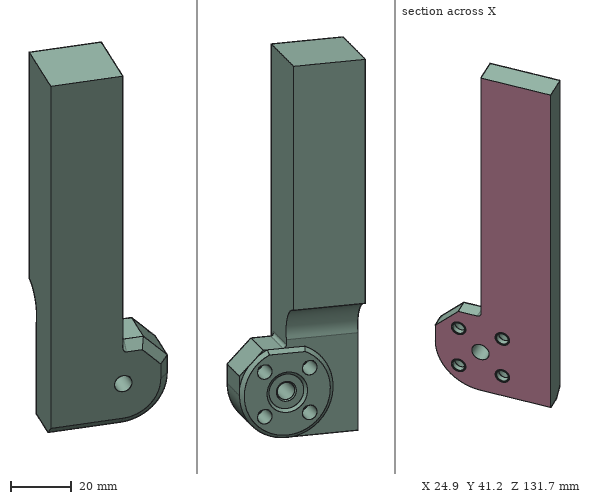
import cadquery as cq
import math


bar_side = 24.88
overall_y = 41.15
overall_z = 131.65

pivot_to_back = 25.0
bar_back_y = -pivot_to_back
bar_front_y = bar_back_y + bar_side

head_radius = overall_y - pivot_to_back
head_top_z = 14.95
back_chamfer = 3.2
inner_corner_radius = 1.2

bottom_z = -head_radius
top_z = bottom_z + overall_z

relief_x = 8.0
runout_radius = 10.0
runout_depth = 8.4
runout_center_x = runout_depth - runout_radius
runout_drop = math.sqrt(runout_radius**2 - (relief_x - runout_center_x) ** 2)
runout_center_z = 20.65
relief_top_z = runout_center_z - runout_drop

pad_radius = 16.3
pad_height = 1.4
pad_face_x = relief_x - pad_height
bevel_angle = 45.0

pivot_diameter = 6.0
pivot_chamfer = 0.45
seat_diameter = 14.0
seat_depth = 1.0

bolt_circle_radius = 11.0
thread_diameter = 5.0
thread_depth = 10.0
drill_diameter = 4.2
drill_depth = 12.0
drill_point_angle = 118.0


def head_prism(start_x, end_x):
    """Head outline, including the lower end of the bar, extruded along X."""
    corner_sum = head_radius * math.sqrt(2)
    middle = head_radius / math.sqrt(2)
    return (
        cq.Workplane("YZ", origin=(start_x, 0, 0))
        .moveTo(bar_back_y, bottom_z)
        .lineTo(0, bottom_z)
        .threePointArc((middle, -middle), (head_radius, 0))
        .lineTo(head_radius, corner_sum - head_radius)
        .lineTo(corner_sum - head_top_z, head_top_z)
        .lineTo(bar_back_y, head_top_z)
        .close()
        .extrude(end_x - start_x)
    )


def make_head():
    """Head block with its +X rim chamfered, except along the bar's -Y side."""
    head = head_prism(relief_x, bar_side)
    rim = head.faces(">X").edges().edges("not <Y")
    return head.newObject(rim.vals()).chamfer(back_chamfer)


def make_bar():
    """Bar above the pivot axis, relieved in front of the head."""
    bar = cq.Workplane("XY").box(bar_side, bar_side, top_z, centered=False)
    bar = bar.translate((0, bar_back_y, 0))
    relief = cq.Workplane("XY").box(relief_x, bar_side, relief_top_z, centered=False)
    runout = (
        cq.Workplane("XZ")
        .center(runout_center_x, runout_center_z)
        .circle(runout_radius)
        .extrude(pivot_to_back)
    )
    return bar.cut(relief.translate((0, bar_back_y, 0))).cut(runout)


def make_pad():
    """Bevelled round pad with a flat top, trimmed to the head outline."""
    half_chord = math.sqrt(pad_radius**2 - head_top_z**2)
    pad = (
        cq.Workplane("YZ", origin=(relief_x, 0, 0))
        .moveTo(-half_chord, head_top_z)
        .threePointArc((0, -pad_radius), (half_chord, head_top_z))
        .close()
        .extrude(-pad_height, taper=bevel_angle)
    )
    return pad.intersect(head_prism(pad_face_x, relief_x))


def fillet_inner_corner(body):
    """Round the corner where the head top and its chamfer meet the bar side."""
    tolerance = 0.01
    corner = cq.selectors.BoxSelector(
        (relief_x - tolerance, bar_front_y - tolerance, head_top_z - back_chamfer - tolerance),
        (bar_side + tolerance, bar_front_y + tolerance, head_top_z + tolerance),
        boundingbox=True,
    )
    return body.edges(corner).fillet(inner_corner_radius)


def hole_along_x(profile, y=0.0, z=0.0):
    """Solid of revolution about an X-parallel axis; profile points are (x, radius)."""
    tool = cq.Workplane("XY").polyline(profile).close().revolve(360, (0, 0, 0), (1, 0, 0))
    return tool.translate((0, y, z))


def pivot_hole():
    radius = pivot_diameter / 2
    seat_radius = seat_diameter / 2
    floor_x = pad_face_x + seat_depth
    return hole_along_x([
        (pad_face_x, 0),
        (pad_face_x, seat_radius),
        (floor_x, seat_radius - seat_depth),
        (floor_x, radius + pivot_chamfer),
        (floor_x + pivot_chamfer, radius),
        (bar_side, radius),
        (bar_side, 0),
    ])


def screw_hole(y, z):
    thread_radius = thread_diameter / 2
    drill_radius = drill_diameter / 2
    thread_end_x = pad_face_x + thread_depth
    drill_end_x = pad_face_x + drill_depth
    point_length = drill_radius / math.tan(math.radians(drill_point_angle / 2))
    profile = [
        (pad_face_x, 0),
        (pad_face_x, thread_radius),
        (thread_end_x, thread_radius),
        (thread_end_x, drill_radius),
        (drill_end_x, drill_radius),
        (drill_end_x + point_length, 0),
    ]
    return hole_along_x(profile, y, z)


body = fillet_inner_corner(make_head().union(make_bar()))
body = body.union(make_pad()).cut(pivot_hole())
screw_offset = bolt_circle_radius / math.sqrt(2)
for y_sign in (-1, 1):
    for z_sign in (-1, 1):
        body = body.cut(screw_hole(y_sign * screw_offset, z_sign * screw_offset))

result = body